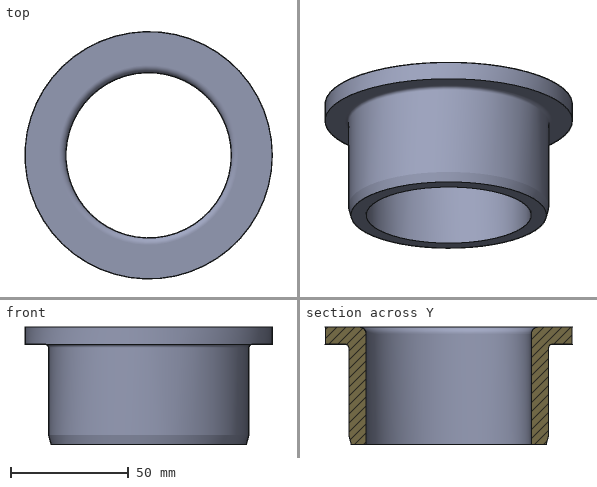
import cadquery as cq
import math

flange_diameter = 105.0
sleeve_diameter = 85.0
bore_diameter = 70.0
height = 50.0
flange_thickness = 7.5

bore_lip_radius = 3.0
neck_fillet_radius = 1.5
lead_in_height = 4.0
lead_in_angle = 15.0

flange_radius = flange_diameter / 2
sleeve_radius = sleeve_diameter / 2
bore_radius = bore_diameter / 2
flange_underside = height - flange_thickness
tip_radius = sleeve_radius - lead_in_height * math.tan(math.radians(lead_in_angle))

arc_offset = math.sqrt(0.5)
lip_center = (bore_radius + bore_lip_radius, height - bore_lip_radius)
lip_middle = (
    lip_center[0] - bore_lip_radius * arc_offset,
    lip_center[1] + bore_lip_radius * arc_offset,
)
neck_center = (sleeve_radius + neck_fillet_radius, flange_underside - neck_fillet_radius)
neck_middle = (
    neck_center[0] - neck_fillet_radius * arc_offset,
    neck_center[1] + neck_fillet_radius * arc_offset,
)

section = (
    cq.Workplane("XZ")
    .moveTo(bore_radius, 0)
    .lineTo(tip_radius, 0)
    .lineTo(sleeve_radius, lead_in_height)
    .lineTo(sleeve_radius, neck_center[1])
    .threePointArc(neck_middle, (neck_center[0], flange_underside))
    .lineTo(flange_radius, flange_underside)
    .lineTo(flange_radius, height)
    .lineTo(lip_center[0], height)
    .threePointArc(lip_middle, (bore_radius, lip_center[1]))
    .close()
)

result = section.revolve(360, (0, 0, 0), (0, 1, 0))